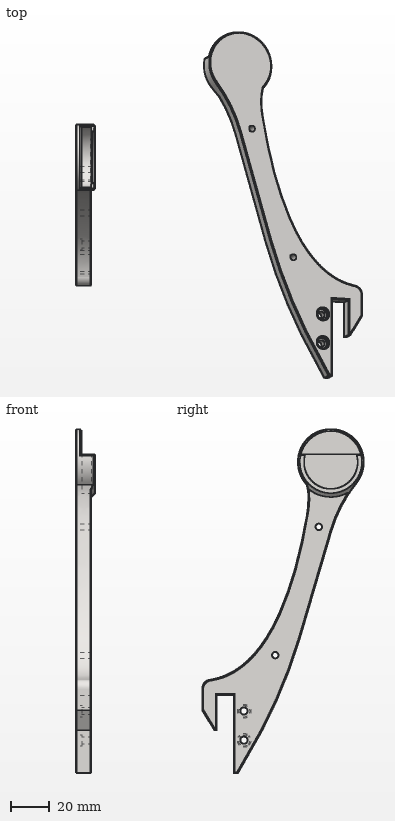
import cadquery as cq
import math


HEAD_RADIUS = 17.0
HEAD_DEPTH = 10.0
HEAD_CHAMFER = 1.0
CUP_RADIUS = 15.9
CUP_FLOOR = 3.0
CUP_OPENING_Z = 4.0
CUP_FRONT = 8.0
RECESS_RADIUS = 13.8
RECESS_FLOOR = 8.6
OPENING_CHAMFER = 0.5

ARM_THICKNESS = 8.0
EDGE_CHAMFER = 0.6
NECK_RADIUS = 72.4
NECK_ANGLE = math.radians(-38.7)
BACK_SLOPE = math.radians(16.4)
BACK_END_Z = -90.9
BLADE_BEND_MID = (-25.2, -116.5)
BLADE_BEND_END = (-35.2, -137.8)

FRONT_START_ANGLE = math.radians(-137.0)
FRONT_CURVE = [
    (-11.6, -17.0),
    (-13.1, -31.2),
    (-17.8, -52.5),
    (-25.0, -74.0),
    (-36.6, -95.2),
    (-47.7, -106.1),
    (-61.5, -111.8),
]

BOTTOM_Z = -160.0
OVERALL_WIDTH = 83.19
HOOK_FRONT_Y = HEAD_RADIUS - OVERALL_WIDTH
HOOK_CORNER_END_Z = -116.6
HOOK_BEVEL_Z = -127.6
HOOK_TIP_Z = -138.0
HOOK_TIP_WIDTH = 1.2
SLOT_BACK_Y = -49.9
SLOT_WIDTH = 8.7
SLOT_TOP_Z = -119.8
BLADE_TIP_WIDTH = 2.1

PIN_HOLE_DIAMETER = 3.2
PIN_HOLES = [(-6.2, -33.3), (-28.6, -99.3)]
SCREW_HOLE_DIAMETER = 3.6
SCREW_HEAD_DIAMETER = 5.8
SCREW_HEAD_DEPTH = 3.0
SCREW_EDGE_DISTANCE = 5.2
SCREW_TOP_Z = -128.0
SCREW_PITCH = 15.0
SCREW_COUNT = 2

SLOT_FRONT_Y = SLOT_BACK_Y - SLOT_WIDTH


def disc(radius, x_start, x_end):
    """Cylinder about the head axis."""
    return cq.Workplane("YZ").workplane(offset=x_start).circle(radius).extrude(x_end - x_start)


def cone(x_start, radius_start, x_end, radius_end):
    """Cone frustum about the head axis."""
    return (
        cq.Workplane("XY")
        .polyline([(x_start, 0), (x_start, radius_start), (x_end, radius_end), (x_end, 0)])
        .close()
        .revolve(360, (0, 0, 0), (1, 0, 0))
    )


def polar(centre, radius, angle):
    return (centre[0] + radius * math.cos(angle), centre[1] + radius * math.sin(angle))


def outline():
    """Outline of head, arm, blade, slot and hook."""
    neck_start = polar((0, 0), HEAD_RADIUS, NECK_ANGLE)
    neck_centre = polar((0, 0), HEAD_RADIUS + NECK_RADIUS, NECK_ANGLE)
    start_angle = NECK_ANGLE + math.pi
    end_angle = math.pi - BACK_SLOPE
    neck_mid = polar(neck_centre, NECK_RADIUS, (start_angle + end_angle) / 2)
    neck_end = polar(neck_centre, NECK_RADIUS, end_angle)
    back_end = (neck_end[0] + (BACK_END_Z - neck_end[1]) * math.tan(BACK_SLOPE), BACK_END_Z)
    front_start = polar((0, 0), HEAD_RADIUS, FRONT_START_ANGLE)
    return (
        cq.Workplane("YZ")
        .moveTo(*neck_start)
        .threePointArc(neck_mid, neck_end)
        .lineTo(*back_end)
        .threePointArc(BLADE_BEND_MID, BLADE_BEND_END)
        .lineTo(SLOT_BACK_Y + BLADE_TIP_WIDTH, BOTTOM_Z)
        .lineTo(SLOT_BACK_Y, BOTTOM_Z)
        .lineTo(SLOT_BACK_Y, SLOT_TOP_Z)
        .lineTo(SLOT_FRONT_Y, SLOT_TOP_Z)
        .lineTo(SLOT_FRONT_Y, HOOK_TIP_Z)
        .lineTo(SLOT_FRONT_Y - HOOK_TIP_WIDTH, HOOK_TIP_Z)
        .lineTo(HOOK_FRONT_Y, HOOK_BEVEL_Z)
        .lineTo(HOOK_FRONT_Y, HOOK_CORNER_END_Z)
        .tangentArcPoint(FRONT_CURVE[-1], relative=False)
        .spline(FRONT_CURVE[-2::-1] + [front_start], includeCurrent=True)
        .threePointArc((0, HEAD_RADIUS), neck_start)
        .close()
    )


def make_body():
    """Chamfered arm with the deeper head.

    One 45 degree cone forms both the head edge chamfer and the sloped joint to the arm.
    """
    plate = outline().extrude(ARM_THICKNESS)
    plate = plate.faces("<X or >X").chamfer(EDGE_CHAMFER)
    head_start = ARM_THICKNESS - EDGE_CHAMFER
    tip_radius = HEAD_RADIUS - HEAD_CHAMFER
    slope = cone(head_start, tip_radius + HEAD_DEPTH - head_start, HEAD_DEPTH, tip_radius)
    head = outline().extrude(HEAD_DEPTH).intersect(slope)
    return plate.union(head)


def cut_cup(body):
    """Hollow the head behind a thin front wall and sink a round recess into that wall."""
    body = body.cut(disc(CUP_RADIUS, CUP_FLOOR, CUP_FRONT))
    return body.cut(disc(RECESS_RADIUS, RECESS_FLOOR, HEAD_DEPTH))


def open_top(body):
    """Open the top of the cup, leaving a back plate with a chamfered front edge."""
    plate_edge_start = CUP_FLOOR - HEAD_CHAMFER
    reach = 2 * HEAD_RADIUS
    around_edge = disc(reach, plate_edge_start, HEAD_DEPTH)
    around_edge = around_edge.cut(cone(plate_edge_start, HEAD_RADIUS, CUP_FLOOR, HEAD_RADIUS - HEAD_CHAMFER))
    ahead_of_plate = around_edge.union(disc(reach, CUP_FLOOR, HEAD_DEPTH))
    drop = reach - CUP_RADIUS
    above = (
        cq.Workplane("YZ")
        .polyline([
            (-reach, CUP_OPENING_Z - drop),
            (-CUP_RADIUS, CUP_OPENING_Z),
            (CUP_RADIUS, CUP_OPENING_Z),
            (reach, CUP_OPENING_Z - drop),
            (reach, reach),
            (-reach, reach),
        ])
        .close()
        .extrude(HEAD_DEPTH)
    )
    front_edge = (
        cq.Workplane("XZ")
        .polyline([
            (HEAD_DEPTH - OPENING_CHAMFER, CUP_OPENING_Z),
            (HEAD_DEPTH, CUP_OPENING_Z - OPENING_CHAMFER),
            (HEAD_DEPTH, CUP_OPENING_Z),
        ])
        .close()
        .extrude(reach, both=True)
    )
    return body.cut(ahead_of_plate.intersect(above)).cut(front_edge)


def cut_holes(body):
    """Drill the pin holes and the counterbored screw holes, which open on the back face."""
    pins = cq.Workplane("YZ").pushPoints(PIN_HOLES).circle(PIN_HOLE_DIAMETER / 2).extrude(ARM_THICKNESS)
    body = body.cut(pins)
    bore_radius = SCREW_HEAD_DIAMETER / 2
    screw = disc(SCREW_HOLE_DIAMETER / 2, 0, ARM_THICKNESS).union(disc(bore_radius, 0, SCREW_HEAD_DEPTH))
    screw = screw.union(cone(0, bore_radius + EDGE_CHAMFER, EDGE_CHAMFER, bore_radius))
    for index in range(SCREW_COUNT):
        place = (0, SLOT_BACK_Y + SCREW_EDGE_DISTANCE, SCREW_TOP_Z - index * SCREW_PITCH)
        body = body.cut(screw.translate(place))
    return body


result = cut_holes(open_top(cut_cup(make_body())))